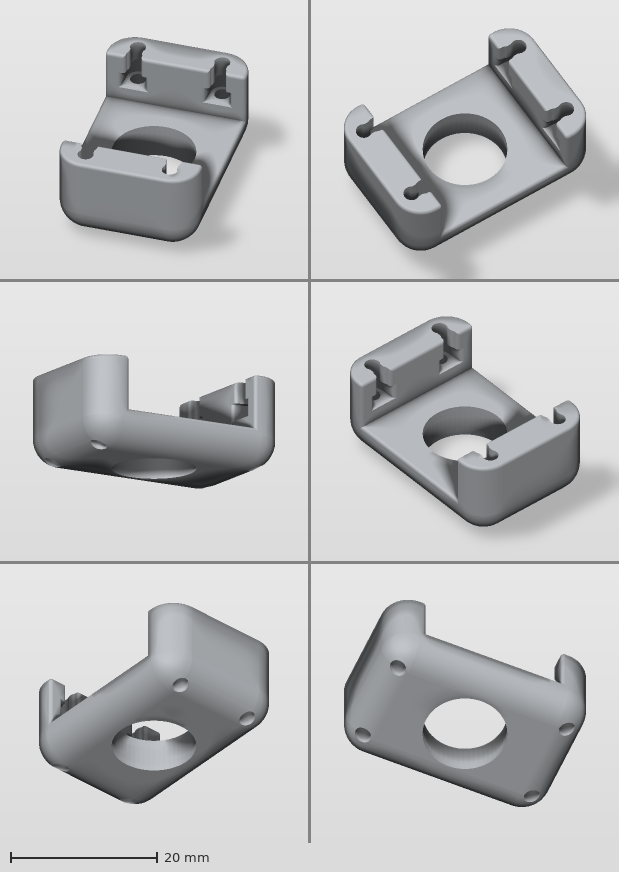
import cadquery as cq
import math

length_x = 20.0
length_y = 30.2
height = 12.5
corner_radius = 4.0

floor_thickness = 5.0
wall_thickness = 5.0
edge_radius = 0.48
bore_diameter = 11.6

cord_hole_diameter = 2.2
mouth_radius = 0.48
slot_half_width = 1.12
neck_half_width = 0.9
neck_start = 0.63
neck_end = 1.4

pocket_half_width = 1.85
pocket_end_diameter = 3.38
pocket_floor = 7.0
pocket_height = 2.5

wall_face_y = length_y / 2 - wall_thickness
hole_depth = wall_thickness / 2
hole_x = length_x / 2 - corner_radius


def rounded_block():
    block = cq.Workplane("XY").box(length_x, length_y, height, centered=(True, True, False))
    return block.edges("|Z or <Z").fillet(corner_radius)


def cut_channel(body):
    channel = (
        cq.Workplane("XY")
        .workplane(offset=floor_thickness)
        .rect(2 * length_x, 2 * wall_face_y)
        .extrude(height)
    )
    body = body.cut(channel)
    rims = body.faces(">Z").edges()
    for side in (-1, 1):
        wall_face = cq.selectors.NearestToPointSelector((0, side * wall_face_y, height / 2))
        rims = rims.add(body.faces("|Y").faces(wall_face).edges("|Z"))
    floor_face = cq.selectors.NearestToPointSelector((0, 0, floor_thickness))
    rims = rims.add(body.faces(floor_face).edges("|Y"))
    return rims.fillet(edge_radius)


def start_half_outline(half_width):
    """Start at the wall face (y = 0) on the slot axis and round the mouth into the slot side."""
    arc_middle = mouth_radius * (1 - math.sqrt(0.5))
    return (
        cq.Workplane("XY", origin=(0, 0, pocket_floor))
        .lineTo(half_width + mouth_radius, 0)
        .threePointArc((half_width + arc_middle, arc_middle), (half_width, mouth_radius))
    )


def finish_keyhole(half_outline, end_diameter, depth):
    """Close the half outline at the hole axis, mirror it and add the round end."""
    half = half_outline.lineTo(0, hole_depth).close().extrude(depth)
    round_end = (
        cq.Workplane("XY", origin=(0, hole_depth, pocket_floor))
        .circle(end_diameter / 2)
        .extrude(depth)
    )
    return half.union(half.mirror("YZ")).union(round_end)


def slot():
    """Keyhole slot open at the wall top, with an S-shaped narrowing to its neck."""
    neck_middle = ((slot_half_width + neck_half_width) / 2, (neck_start + neck_end) / 2)
    half_outline = (
        start_half_outline(slot_half_width)
        .lineTo(slot_half_width, neck_start)
        .tangentArcPoint(neck_middle, relative=False)
        .tangentArcPoint((neck_half_width, neck_end), relative=False)
        .lineTo(neck_half_width, hole_depth)
    )
    return finish_keyhole(half_outline, cord_hole_diameter, height - pocket_floor)


def pocket():
    """Wider tapered keyhole below the slot."""
    half_outline = (
        start_half_outline(pocket_half_width)
        .lineTo(pocket_end_diameter / 2, hole_depth)
    )
    return finish_keyhole(half_outline, pocket_end_diameter, pocket_height)


def cord_hole():
    return cq.Workplane("XY", origin=(0, hole_depth, 0)).circle(cord_hole_diameter / 2).extrude(height)


bore = cq.Workplane("XY").circle(bore_diameter / 2).extrude(height)
result = cut_channel(rounded_block()).cut(bore)

cord_passage = slot().union(pocket()).union(cord_hole())
for x in (-hole_x, hole_x):
    back_passage = cord_passage.translate((x, wall_face_y, 0))
    front_passage = back_passage.mirror("XZ")
    result = result.cut(back_passage).cut(front_passage)